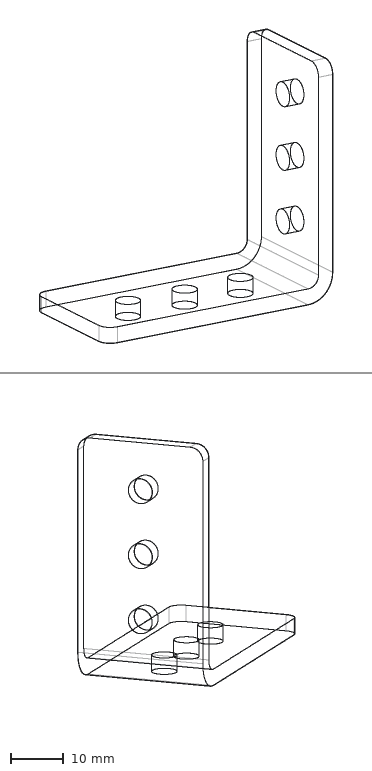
import cadquery as cq

width = 25.4
base_length = 50.8
wall_height = 47.6
thickness = 3.2
inner_bend_radius = 2.35
corner_radius = 2.55
hole_diameter = 4.85
hole_pitch = 12.7
outer_base_hole_shift = 0.35

outer_bend_radius = inner_bend_radius + thickness
base_hole_shifts = [0.0, outer_base_hole_shift, outer_base_hole_shift]


def bent_strip():
    """L-shaped strip: outer wall face at Y = 0, base underside at Z = 0."""
    blank = (
        cq.Workplane("YZ")
        .polyline([
            (0, 0),
            (-base_length, 0),
            (-base_length, thickness),
            (-thickness, thickness),
            (-thickness, wall_height),
            (0, wall_height),
        ])
        .close()
        .extrude(width / 2, both=True)
    )
    inner_bend_edge = cq.selectors.NearestToPointSelector((0, -thickness, thickness))
    outer_bend_edge = cq.selectors.NearestToPointSelector((0, 0, 0))
    bent = blank.edges("|X").edges(inner_bend_edge).fillet(inner_bend_radius)
    return bent.edges("|X").edges(outer_bend_edge).fillet(outer_bend_radius)


def round_free_corners(strip):
    """Round the two corners at the free end of each leg."""
    strip = strip.faces("<Y").edges("|Z").fillet(corner_radius)
    return strip.faces(">Z").edges("|Y").fillet(corner_radius)


def base_holes():
    centers = [
        (shift, -hole_pitch * (index + 1))
        for index, shift in enumerate(base_hole_shifts)
    ]
    return cq.Workplane("XY").pushPoints(centers).circle(hole_diameter / 2).extrude(thickness)


def wall_holes():
    centers = [(0, hole_pitch * number) for number in (1, 2, 3)]
    return cq.Workplane("XZ").pushPoints(centers).circle(hole_diameter / 2).extrude(thickness)


result = round_free_corners(bent_strip()).cut(base_holes()).cut(wall_holes())